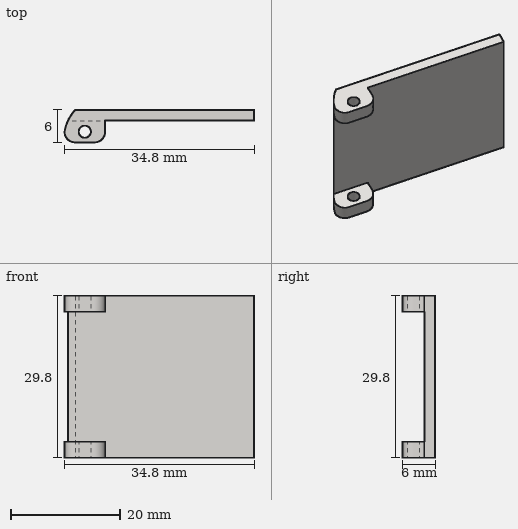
import cadquery as cq

length = 34.8
height = 29.8
lug_depth = 6.0

plate_thickness = 2.0
lug_width = 7.48
lug_height = 3.0
corner_radius = 2.0
hole_diameter = 2.2

nose_back_inset = 1.95
nose_front_inset = 0.63

plate_front = lug_depth - plate_thickness
hole_x = lug_width / 2
hole_y = corner_radius


def hinge_profile():
    """Plate and lug outline in the XY plane, with the lug at the low-X end."""
    outline = (
        cq.Workplane("XY")
        .moveTo(corner_radius, 0)
        .lineTo(lug_width - corner_radius, 0)
        .radiusArc((lug_width, corner_radius), -corner_radius)
        .lineTo(lug_width, plate_front)
        .lineTo(length, plate_front)
        .lineTo(length, lug_depth)
        .lineTo(nose_back_inset, lug_depth)
        .threePointArc((nose_front_inset, plate_front), (0, corner_radius))
        .radiusArc((corner_radius, 0), -corner_radius)
        .close()
    )
    return outline


def lug_gap():
    """Space between the two lugs, in front of the plate."""
    return cq.Workplane("XY").box(
        lug_width, plate_front, height - 2 * lug_height, centered=False
    ).translate((0, 0, lug_height))


def pin_hole():
    """Pin hole running through both lugs."""
    return (
        cq.Workplane("XY")
        .center(hole_x, hole_y)
        .circle(hole_diameter / 2)
        .extrude(height)
    )


result = hinge_profile().extrude(height).cut(lug_gap()).cut(pin_hole())